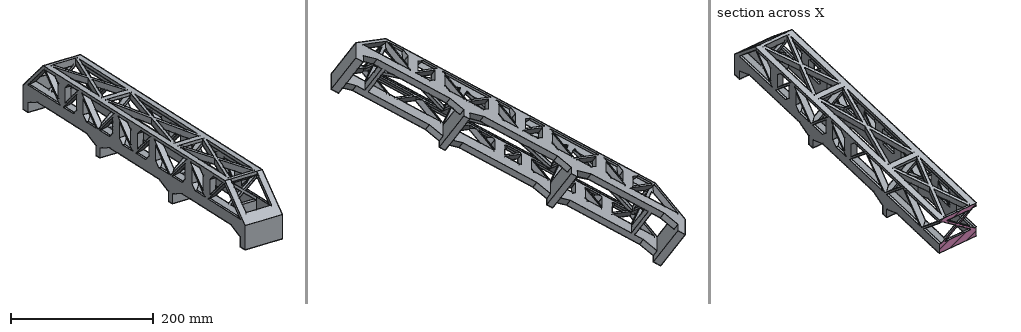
import cadquery as cq
import math

LENGTH = 550.89
WIDTH = 63.5
HEIGHT = 88.0

WALL = 10.0
CHORD_STEP = 0.5
PANEL = 44.9
TOP_CHORD = 5.0
OPENING_BOTTOM = 43.0
GIRDER_BOTTOM = 25.3
END_HEIGHT = 38.0
STRUT = 3.0
POST = 16.8
POST_CLIP = 8.0

END_LEG = 12.5
PIER_LEG = 10.0
HAUNCH_LENGTH = 23.0
HAUNCH_BOTTOM = 15.5

PORTAL = 5.6
LATERAL = 4.8
LATERAL_DEPTH = 10.0
CROSS_BRACE = 4.1
CROSS_ANGLE = 38.6

HALF_LENGTH = LENGTH / 2
HALF_WIDTH = WIDTH / 2
INNER_HALF = HALF_WIDTH - WALL
OPENING_TOP = HEIGHT - TOP_CHORD
OPENING_HEIGHT = OPENING_TOP - OPENING_BOTTOM
OPENING_MIDDLE = (OPENING_TOP + OPENING_BOTTOM) / 2
SHOULDER_X = HALF_LENGTH - (HEIGHT - END_HEIGHT)
CAVITY_X = HALF_LENGTH - END_LEG
PIER_X = 2 * PANEL
PIER_INNER_X = PIER_X - PIER_LEG / 2
PIER_OUTER_X = PIER_X + PIER_LEG / 2
RAKER_FOOT_X = SHOULDER_X + HEIGHT - TOP_CHORD * math.sqrt(2) - OPENING_BOTTOM
STRUT_RUN = STRUT * math.sqrt(2)
CROSS_SLOPE = math.tan(math.radians(CROSS_ANGLE))
CROSS_HALF_Y = CROSS_BRACE / 2 / math.sin(math.radians(CROSS_ANGLE))
CROSS_HALF_Z = CROSS_BRACE / 2 / math.cos(math.radians(CROSS_ANGLE))


def box(x0, x1, y0, y1, z0, z1):
    return cq.Workplane("XY").box(x1 - x0, y1 - y0, z1 - z0, centered=False).translate((x0, y0, z0))


def side_prism(points, half_width):
    """Extrude an XZ outline to both sides of the middle plane."""
    return cq.Workplane("XZ").polyline(points).close().extrude(half_width, both=True)


def truss_prism(points):
    """Extrude an XZ outline through the thickness of the -Y truss."""
    return cq.Workplane("XZ", origin=(0, -INNER_HALF, 0)).polyline(points).close().extrude(WALL)


def section_prism(points):
    """Extrude a YZ outline along the full length."""
    return cq.Workplane("YZ").polyline(points).close().extrude(HALF_LENGTH, both=True)


def both_ends(shape):
    return shape.union(shape.mirror("YZ"))


def body_blank():
    """Side silhouette: legs, haunches, girder and sloped ends."""
    half = [
        (PIER_INNER_X - HAUNCH_LENGTH, GIRDER_BOTTOM),
        (PIER_INNER_X, HAUNCH_BOTTOM),
        (PIER_INNER_X, 0),
        (PIER_OUTER_X, 0),
        (PIER_OUTER_X, HAUNCH_BOTTOM),
        (PIER_OUTER_X + HAUNCH_LENGTH, GIRDER_BOTTOM),
        (CAVITY_X - HAUNCH_LENGTH, GIRDER_BOTTOM),
        (CAVITY_X, HAUNCH_BOTTOM),
        (CAVITY_X, 0),
        (HALF_LENGTH, 0),
        (HALF_LENGTH, END_HEIGHT),
        (SHOULDER_X, HEIGHT),
    ]
    return side_prism(half + [(-x, z) for x, z in reversed(half)], HALF_WIDTH)


def cavity():
    """Space between the side trusses, open at top and bottom and wider between the top chords."""
    lower = box(-CAVITY_X, CAVITY_X, -INNER_HALF, INNER_HALF, 0, OPENING_TOP)
    chord_half = INNER_HALF + CHORD_STEP
    return lower.union(box(-CAVITY_X, CAVITY_X, -chord_half, chord_half, OPENING_TOP, HEIGHT))


def lateral_brace(x0, x1):
    """Flat X brace between the top chords of one bay."""
    run = x1 - x0
    rise = 2 * INNER_HALF
    angle = math.degrees(math.atan2(rise, run))
    bar = cq.Workplane("XY").box(math.hypot(run, rise), LATERAL, LATERAL_DEPTH)
    bar = bar.translate((0, 0, HEIGHT - LATERAL_DEPTH / 2))
    rising = bar.rotate((0, 0, 0), (0, 0, 1), angle)
    falling = bar.rotate((0, 0, 0), (0, 0, 1), -angle)
    return rising.union(falling).translate(((x0 + x1) / 2, 0, 0))


def top_bracing():
    """Lateral braces of the middle bay and the two end bays."""
    middle = lateral_brace(-PIER_INNER_X, PIER_INNER_X)
    return middle.union(both_ends(lateral_brace(PIER_OUTER_X, SHOULDER_X - PORTAL)))


def side_void():
    """Space between the X brace arms on the -Y side, carried out through the side truss."""
    reach = HALF_WIDTH - CROSS_HALF_Y
    half_height = reach * CROSS_SLOPE
    return section_prism([
        (-CROSS_HALF_Y, OPENING_MIDDLE),
        (-HALF_WIDTH, OPENING_MIDDLE + half_height),
        (-HALF_WIDTH, OPENING_MIDDLE - half_height),
    ])


def cross_frame_openings():
    """The four triangles around the X brace, limited to the inside of the frame."""
    reach = (OPENING_HEIGHT / 2 - CROSS_HALF_Z) / CROSS_SLOPE
    top = section_prism([
        (0, OPENING_MIDDLE + CROSS_HALF_Z),
        (reach, OPENING_TOP),
        (-reach, OPENING_TOP),
    ])
    bottom = top.mirror("XY", (0, 0, OPENING_MIDDLE))
    window = box(-HALF_LENGTH, HALF_LENGTH, -INNER_HALF, INNER_HALF, OPENING_BOTTOM, OPENING_TOP)
    sides = side_void().union(side_void().mirror("XZ"))
    return sides.union(top).union(bottom).intersect(window)


def portal_haunch():
    """Wedge under the portal beam: its 45 degree underside deepens toward the middle of the part."""
    return side_prism([
        (SHOULDER_X, OPENING_TOP),
        (SHOULDER_X - PORTAL, OPENING_TOP),
        (SHOULDER_X - PORTAL, OPENING_TOP - PORTAL),
    ], INNER_HALF)


def cross_frames():
    """Transverse frames over the piers and at both ends of the top chord."""
    frame_half = INNER_HALF + CHORD_STEP
    pier = box(PIER_INNER_X, PIER_OUTER_X, -frame_half, frame_half, OPENING_TOP, HEIGHT)
    pier = pier.union(box(PIER_INNER_X, PIER_OUTER_X, -INNER_HALF, INNER_HALF, 0, OPENING_TOP))
    portal_x = SHOULDER_X - PORTAL
    portal = box(portal_x, SHOULDER_X, -frame_half, frame_half, OPENING_TOP, HEIGHT)
    portal = portal.union(box(portal_x, SHOULDER_X, -INNER_HALF, INNER_HALF, GIRDER_BOTTOM, OPENING_TOP))
    frames = pier.union(portal).cut(cross_frame_openings()).union(portal_haunch())
    return both_ends(frames)


def above_strut(base, direction):
    """Opening over the strut that rises from the even node at `base`, beside the post on that node."""
    post_face = base + direction * POST / 2
    return [
        (base + direction * OPENING_HEIGHT, OPENING_TOP),
        (post_face, OPENING_BOTTOM + POST / 2),
        (post_face, OPENING_TOP - POST_CLIP),
        (post_face + direction * POST_CLIP, OPENING_TOP),
    ]


def below_strut(base, direction):
    """Opening under the same strut, beside the post on the odd node where the strut ends."""
    corner_x = base + direction * STRUT_RUN
    post_face = base + direction * (PANEL - POST / 2)
    return [
        (corner_x, OPENING_BOTTOM),
        (post_face, OPENING_BOTTOM + abs(post_face - corner_x)),
        (post_face, OPENING_BOTTOM + POST_CLIP),
        (post_face - direction * POST_CLIP, OPENING_BOTTOM),
    ]


def valley(base):
    """V opening between the two struts that rise from the even node at `base`."""
    return [
        (base, OPENING_BOTTOM),
        (base + OPENING_HEIGHT, OPENING_TOP),
        (base - OPENING_HEIGHT, OPENING_TOP),
    ]


def gable(x0, x1):
    """Triangular opening with 45 degree sides standing on the girder."""
    return [
        (x0, OPENING_BOTTOM),
        (x1, OPENING_BOTTOM),
        ((x0 + x1) / 2, OPENING_BOTTOM + (x1 - x0) / 2),
    ]


def posted_half():
    """Openings of a +X half truss that has posts on every node except the pier."""
    return [
        above_strut(0, 1),
        below_strut(0, 1),
        below_strut(PIER_X, -1),
        valley(PIER_X),
        below_strut(PIER_X, 1),
        below_strut(2 * PIER_X, -1),
        above_strut(2 * PIER_X, -1),
        above_strut(2 * PIER_X, 1),
        gable(2 * PIER_X + STRUT_RUN, RAKER_FOOT_X),
    ]


def open_half():
    """Openings of a +X half truss that has struts only, apart from the post at mid-length."""
    return [
        above_strut(0, 1),
        gable(STRUT_RUN, PIER_X - STRUT_RUN),
        valley(PIER_X),
        gable(PIER_X + STRUT_RUN, 2 * PIER_X - STRUT_RUN),
        valley(2 * PIER_X),
        gable(2 * PIER_X + STRUT_RUN, RAKER_FOOT_X),
    ]


def half_cutter(outlines):
    """Cutter for one +X half of the -Y truss, narrowed by the planes of the X brace."""
    cutter = truss_prism(outlines[0])
    for outline in outlines[1:]:
        cutter = cutter.union(truss_prism(outline))
    return cutter.intersect(side_void())


def truss_openings():
    """The -X half of the +Y truss has only its mid-length post; the other half trusses are alike."""
    posted = half_cutter(posted_half())
    bare = half_cutter(open_half())
    near_side = both_ends(posted)
    far_side = posted.union(bare.mirror("YZ")).mirror("XZ")
    return near_side.union(far_side)


def build():
    trusses = body_blank().cut(cavity()).cut(truss_openings())
    return trusses.union(cross_frames()).union(top_bracing())


result = build()